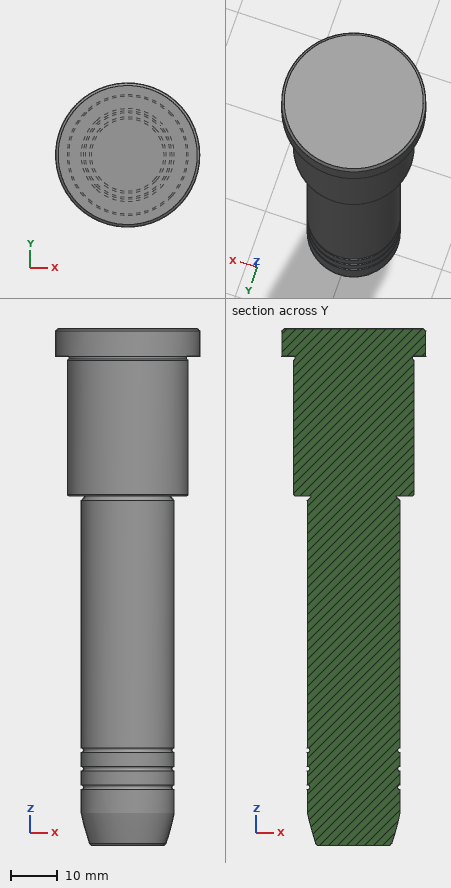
import cadquery as cq

total_length = 111.0
head_height = 6.0
head_radius = 15.48
head_chamfer = 0.5

body_radius = 13.0
body_bottom = total_length - 36.0
body_chamfer = 0.3
neck_depth = 0.3
neck_width = 0.9
neck_bevel = 0.3

shaft_radius = 10.0
relief_depth = 0.9
relief_width = 1.0

groove_count = 3
groove_pitch = 4.0
groove_width = 1.0
lowest_groove_bottom = 12.0

tip_height = 7.0
tip_radius = 8.2
tip_chamfer = 0.4
taper_mid_height = 3.7
taper_mid_radius = 9.2


def ring_cutter(section):
    """Sweep a closed XZ half-section around the Z axis."""
    return section.close().revolve(360, (0, 0, 0), (0, 1, 0))


def rounded_groove(bottom):
    """Semicircular oil groove cut into the shaft."""
    groove_radius = groove_width / 2
    section = (
        cq.Workplane("XZ")
        .moveTo(shaft_radius, bottom)
        .threePointArc(
            (shaft_radius - groove_radius, bottom + groove_radius),
            (shaft_radius, bottom + groove_width),
        )
    )
    return ring_cutter(section)


def make_head():
    return (
        cq.Workplane("XY", origin=(0, 0, total_length - head_height))
        .circle(head_radius)
        .extrude(head_height)
        .faces(">Z")
        .chamfer(head_chamfer)
    )


def make_body():
    """Guide body with a small neck where it meets the head."""
    head_bottom = total_length - head_height
    body = (
        cq.Workplane("XY", origin=(0, 0, body_bottom))
        .circle(body_radius)
        .extrude(head_bottom - body_bottom)
        .faces("<Z")
        .chamfer(body_chamfer)
    )
    neck_bottom = head_bottom - neck_width
    neck_section = (
        cq.Workplane("XZ")
        .moveTo(body_radius, neck_bottom)
        .lineTo(body_radius - neck_depth, neck_bottom + neck_bevel)
        .lineTo(body_radius - neck_depth, head_bottom)
        .lineTo(body_radius, head_bottom)
    )
    return body.cut(ring_cutter(neck_section))


def make_shaft():
    """Revolved shaft with a curved lead-in tip and a conical relief."""
    relief_radius = shaft_radius - relief_depth
    relief_bottom = body_bottom - relief_width
    shaft = (
        cq.Workplane("XZ")
        .moveTo(0, 0)
        .lineTo(tip_radius - tip_chamfer, 0)
        .lineTo(tip_radius, tip_chamfer)
        .threePointArc((taper_mid_radius, taper_mid_height), (shaft_radius, tip_height))
        .lineTo(shaft_radius, relief_bottom)
        .lineTo(relief_radius, body_bottom)
        .lineTo(0, body_bottom)
        .close()
        .revolve(360, (0, 0, 0), (0, 1, 0))
    )
    for index in range(groove_count):
        bottom = lowest_groove_bottom + index * groove_pitch
        shaft = shaft.cut(rounded_groove(bottom))
    return shaft


result = make_head().union(make_body()).union(make_shaft())